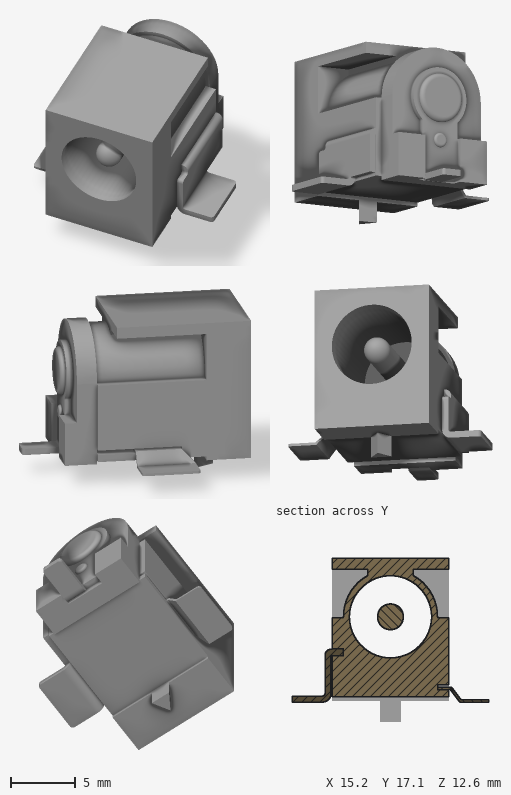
import cadquery as cq
import math


HALF_WIDTH = 4.5
TOP_Z = 4.51
HEIGHT = 11.0
BOTTOM_Z = TOP_Z - HEIGHT
BODY_LENGTH = 11.99
ROOF_LENGTH = 10.5
BORE_RADIUS = 3.15
BARREL_RADIUS = 3.65
FRONT_WALL = 3.49
LEDGE_Z = -0.05
WEB_BOTTOM_Z = 3.18
BOTTOM_RELIEF = 0.3
FLANGE_RADIUS = 4.0
FLANGE_BACK = 13.56
FOOT_BACK = 14.5
FOOT_TOP_Z = -3.1
LOCATOR_WIDTH = 1.62
LOCATOR_LENGTH = 1.35
LOCATOR_HEIGHT = 1.6

SEAT_Z = -6.58
FEET_SPAN = 15.2
FOOT_FRONT = 4.51
FOOT_REAR = 9.08
CORNER_RADIUS = 0.25
SHEET = 0.5
BEND_INNER = 0.17
BEND_OUTER = BEND_INNER + SHEET
CONTACT_FRONT = 5.47
SLOT_DEPTH = 0.85

SPRING_SHEET = 0.2
SPRING_TOP_Z = -5.4
SPRING_SLOT_TOP_Z = -5.25
SPRING_SLOT_FRONT = 5.42
RAMP_LOW_X = -5.44
RAMP_HIGH_X = -4.7

SLEEVE_GAP = 0.07
SLEEVE_INNER_X = HALF_WIDTH + SLEEVE_GAP
SLEEVE_TOP_Z = -2.48
SLEEVE_SHOULDER_Z = -3.23
SHOULDER_FILLET = 0.2

PIN_RADIUS = 1.01
PIN_TIP_Y = 0.92
EYE_RADIUS = 2.4
STRIP_HALF_WIDTH = 1.57
STRIP_FILLET = 0.2
TAIL_WIDTH = 1.71
TERMINAL_BACK = FLANGE_BACK + SHEET
TAIL_END = 17.1
HEAD_RADIUS = 1.9
HEAD_HEIGHT = 0.4
HEAD_ROUND = 0.36
BUTTON_RADIUS = 0.56
BUTTON_HEIGHT = 0.22
BUTTON_ROUND = 0.2
BUTTON_Z = -3.3


def box(x0, x1, y0, y1, z0, z1):
    """Block between opposite corners."""
    return cq.Workplane("XY").box(x1 - x0, y1 - y0, z1 - z0, centered=False).translate((x0, y0, z0))


def rod(radius, y0, y1, z=0):
    """Cylinder along Y."""
    return cq.Workplane("XZ", origin=(0, y0, z)).circle(radius).extrude(y0 - y1)


def make_locator():
    """Triangular peg under the front block, pointing forward."""
    return (
        cq.Workplane("XY", origin=(0, FRONT_WALL, BOTTOM_Z))
        .polyline([(-LOCATOR_WIDTH / 2, 0), (LOCATOR_WIDTH / 2, 0), (0, -LOCATOR_LENGTH)])
        .close()
        .extrude(-LOCATOR_HEIGHT)
    )


def make_housing():
    base_z = BOTTOM_Z + BOTTOM_RELIEF
    front_block = box(-HALF_WIDTH, HALF_WIDTH, 0, FRONT_WALL, BOTTOM_Z, TOP_Z)
    base = box(-HALF_WIDTH, HALF_WIDTH, FRONT_WALL, BODY_LENGTH, base_z, LEDGE_Z)
    barrel = rod(BARREL_RADIUS, FRONT_WALL, BODY_LENGTH)
    roof = box(-HALF_WIDTH, HALF_WIDTH, FRONT_WALL, ROOF_LENGTH, BARREL_RADIUS, TOP_Z)
    web_half_width = math.sqrt(BARREL_RADIUS**2 - WEB_BOTTOM_Z**2)
    web = box(-web_half_width, web_half_width, FRONT_WALL, ROOF_LENGTH, 0, BARREL_RADIUS)

    flange = rod(FLANGE_RADIUS, BODY_LENGTH, FLANGE_BACK).union(
        box(-FLANGE_RADIUS, FLANGE_RADIUS, BODY_LENGTH, FLANGE_BACK, BOTTOM_Z, 0)
    )
    foot = box(-FLANGE_RADIUS, FLANGE_RADIUS, FLANGE_BACK, FOOT_BACK, BOTTOM_Z, FOOT_TOP_Z)
    foot_notch = box(-STRIP_HALF_WIDTH, STRIP_HALF_WIDTH, FLANGE_BACK, FOOT_BACK, BOTTOM_Z, FOOT_TOP_Z)

    housing = front_block
    for piece in (base, barrel, roof, web, flange, foot.cut(foot_notch), make_locator()):
        housing = housing.union(piece)

    spring_slot = box(
        -HALF_WIDTH, -HALF_WIDTH + SLOT_DEPTH,
        SPRING_SLOT_FRONT, BODY_LENGTH,
        SPRING_TOP_Z - SPRING_SHEET, SPRING_SLOT_TOP_Z,
    )
    sleeve_slot = box(
        HALF_WIDTH - SLOT_DEPTH, HALF_WIDTH,
        CONTACT_FRONT, BODY_LENGTH,
        SLEEVE_TOP_Z - SHEET, SLEEVE_TOP_Z,
    )
    bore = rod(BORE_RADIUS, 0, BODY_LENGTH)
    pin_hole = rod(PIN_RADIUS, BODY_LENGTH, FLANGE_BACK)
    for opening in (spring_slot, sleeve_slot, bore, pin_hole):
        housing = housing.cut(opening)
    return housing


def make_spring_contact():
    """Thin left contact: tongue in the housing slot, ramp and solder foot."""
    foot_top_z = SEAT_Z + SPRING_SHEET
    ramp_angle = math.atan2(SPRING_TOP_Z - foot_top_z, RAMP_HIGH_X - RAMP_LOW_X)
    bend_shift = SPRING_SHEET * math.tan(ramp_angle / 2)
    tongue_x = -HALF_WIDTH + SLOT_DEPTH
    contact = (
        cq.Workplane("XZ", origin=(0, FOOT_FRONT, 0))
        .polyline([
            (-FEET_SPAN / 2, SEAT_Z),
            (RAMP_LOW_X + bend_shift, SEAT_Z),
            (RAMP_HIGH_X + bend_shift, SPRING_TOP_Z - SPRING_SHEET),
            (tongue_x, SPRING_TOP_Z - SPRING_SHEET),
            (tongue_x, SPRING_TOP_Z),
            (RAMP_HIGH_X, SPRING_TOP_Z),
            (RAMP_LOW_X, foot_top_z),
            (-FEET_SPAN / 2, foot_top_z),
        ])
        .close()
        .extrude(FOOT_FRONT - FOOT_REAR)
        .edges("|Z and <X")
        .fillet(CORNER_RADIUS)
    )
    ramp_end = (
        cq.Workplane("YZ", origin=(RAMP_LOW_X, 0, 0))
        .polyline([
            (FOOT_FRONT, foot_top_z),
            (CONTACT_FRONT, SPRING_TOP_Z),
            (FOOT_FRONT, SPRING_TOP_Z),
        ])
        .close()
        .extrude(tongue_x - RAMP_LOW_X)
    )
    tongue_end = box(
        RAMP_HIGH_X, tongue_x, FOOT_FRONT, CONTACT_FRONT, SPRING_TOP_Z - SPRING_SHEET, SPRING_TOP_Z
    )
    return contact.cut(ramp_end).cut(tongue_end)


def make_sleeve_contact():
    """Thick right contact: top flange in the housing, upright plate and solder foot."""
    outer_x = SLEEVE_INNER_X + SHEET
    bend_top_z = SEAT_Z + BEND_OUTER
    flange_bottom_z = SLEEVE_TOP_Z - SHEET

    upright = box(SLEEVE_INNER_X, outer_x, CONTACT_FRONT, BODY_LENGTH, bend_top_z, SLEEVE_TOP_Z)
    flange = box(
        HALF_WIDTH - SLOT_DEPTH, SLEEVE_INNER_X, CONTACT_FRONT, BODY_LENGTH, flange_bottom_z, SLEEVE_TOP_Z
    )
    flanged_plate = upright.union(flange).edges("|Y and >X and >Z").fillet(SHEET)
    shoulder = (
        cq.Workplane("YZ", origin=(SLEEVE_INNER_X, 0, 0))
        .moveTo(FOOT_FRONT, bend_top_z)
        .lineTo(FOOT_FRONT, SLEEVE_SHOULDER_Z - CORNER_RADIUS)
        .radiusArc((FOOT_FRONT + CORNER_RADIUS, SLEEVE_SHOULDER_Z), CORNER_RADIUS)
        .lineTo(CONTACT_FRONT - SHOULDER_FILLET, SLEEVE_SHOULDER_Z)
        .radiusArc((CONTACT_FRONT, SLEEVE_SHOULDER_Z + SHOULDER_FILLET), -SHOULDER_FILLET)
        .lineTo(CONTACT_FRONT, bend_top_z)
        .close()
        .extrude(SHEET)
    )
    foot = (
        cq.Workplane("XZ", origin=(0, FOOT_FRONT, 0))
        .moveTo(SLEEVE_INNER_X, bend_top_z)
        .radiusArc((SLEEVE_INNER_X + BEND_OUTER, SEAT_Z), -BEND_OUTER)
        .lineTo(FEET_SPAN / 2, SEAT_Z)
        .lineTo(FEET_SPAN / 2, SEAT_Z + SHEET)
        .lineTo(outer_x + BEND_INNER, SEAT_Z + SHEET)
        .radiusArc((outer_x, bend_top_z), BEND_INNER)
        .close()
        .extrude(FOOT_FRONT - FOOT_REAR)
        .edges("|Z and >X")
        .fillet(CORNER_RADIUS)
    )
    return flanged_plate.union(shoulder).union(foot)


def make_terminal_plate():
    """Round eye with a straight strip, bent back into a narrower solder tail."""
    bend_top_z = SEAT_Z + BEND_OUTER
    strip = box(-STRIP_HALF_WIDTH, STRIP_HALF_WIDTH, FLANGE_BACK, TERMINAL_BACK, bend_top_z, 0)
    eye = rod(EYE_RADIUS, FLANGE_BACK, TERMINAL_BACK)
    plate = eye.union(strip)
    neck_z = -math.sqrt(EYE_RADIUS**2 - STRIP_HALF_WIDTH**2)
    margin = STRIP_FILLET
    neck_edges = cq.selectors.BoxSelector(
        (-STRIP_HALF_WIDTH - margin, FLANGE_BACK, neck_z - margin),
        (STRIP_HALF_WIDTH + margin, TERMINAL_BACK, neck_z + margin),
    )
    plate = plate.edges(neck_edges).edges("|Y").fillet(STRIP_FILLET)

    tail = (
        cq.Workplane("YZ", origin=(STRIP_HALF_WIDTH - TAIL_WIDTH, 0, 0))
        .moveTo(FLANGE_BACK, bend_top_z)
        .radiusArc((FLANGE_BACK + BEND_OUTER, SEAT_Z), -BEND_OUTER)
        .lineTo(TAIL_END, SEAT_Z)
        .lineTo(TAIL_END, SEAT_Z + SHEET)
        .lineTo(TERMINAL_BACK + BEND_INNER, SEAT_Z + SHEET)
        .radiusArc((TERMINAL_BACK, bend_top_z), BEND_INNER)
        .close()
        .extrude(TAIL_WIDTH)
        .edges("|Z and >Y")
        .fillet(CORNER_RADIUS)
    )
    return plate.union(tail)


def make_pin_terminal():
    """Centre pin headed over onto the rear terminal plate."""
    pin = rod(PIN_RADIUS, PIN_TIP_Y + PIN_RADIUS, TERMINAL_BACK)
    tip = cq.Workplane("XZ").sphere(PIN_RADIUS).translate((0, PIN_TIP_Y + PIN_RADIUS, 0))
    head = rod(HEAD_RADIUS, TERMINAL_BACK, TERMINAL_BACK + HEAD_HEIGHT).faces(">Y").edges().fillet(HEAD_ROUND)
    button = rod(BUTTON_RADIUS, TERMINAL_BACK, TERMINAL_BACK + BUTTON_HEIGHT, BUTTON_Z)
    button = button.faces(">Y").edges().fillet(BUTTON_ROUND)
    return make_terminal_plate().union(pin).union(tip).union(head).union(button)


housing = make_housing()
spring_contact = make_spring_contact()
sleeve_contact = make_sleeve_contact()
pin_terminal = make_pin_terminal()

result = cq.Compound.makeCompound([
    housing.solids().val(),
    spring_contact.solids().val(),
    sleeve_contact.solids().val(),
    pin_terminal.solids().val(),
])